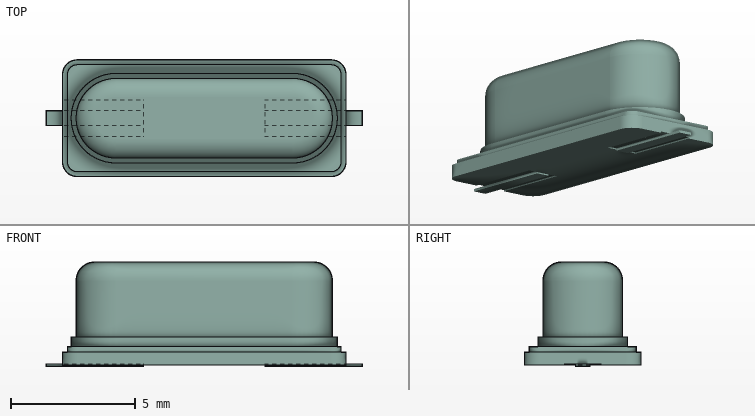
import cadquery as cq

total_height = 4.2
base_length = 11.4
base_width = 4.7
base_corner_radius = 0.6
base_bottom = 0.05
base_top = 0.58
step_inset = 0.2
step_top = 0.8
can_length = 10.3
can_width = 3.2
can_top_fillet = 0.75
flange_overhang = 0.2
flange_top = 1.19
lead_span = 12.7
lead_gap = 4.88
lead_width = 0.6
lead_thickness = 0.1
recess_width = 1.45

recess_depth = lead_thickness - base_bottom
lead_length = (lead_span - lead_gap) / 2
lead_center = (lead_span + lead_gap) / 4
recess_length = (base_length - lead_gap) / 2
recess_center = (base_length + lead_gap) / 4


def rounded_plate(inset, bottom, top):
    """Rectangular plate with rounded corners, inset evenly from the base outline."""
    return (
        cq.Workplane("XY", origin=(0, 0, bottom))
        .rect(base_length - 2 * inset, base_width - 2 * inset)
        .extrude(top - bottom)
        .edges("|Z")
        .fillet(base_corner_radius - inset)
    )


def obround(overhang, bottom, top):
    """Round-ended block that extends evenly beyond the can outline."""
    return (
        cq.Workplane("XY", origin=(0, 0, bottom))
        .slot2D(can_length + 2 * overhang, can_width + 2 * overhang)
        .extrude(top - bottom)
    )


def bottom_block(center_x, length, width, bottom, height):
    """Thin rectangular block centered on the X axis."""
    return (
        cq.Workplane("XY", origin=(center_x, 0, bottom))
        .rect(length, width)
        .extrude(height)
    )


result = rounded_plate(0, base_bottom, base_top)
result = result.union(rounded_plate(step_inset, base_top, step_top))

can = obround(0, flange_top, total_height).faces(">Z").edges().fillet(can_top_fillet)
result = result.union(obround(flange_overhang, step_top, flange_top)).union(can)

for side in (-1, 1):
    recess = bottom_block(side * recess_center, recess_length, recess_width, base_bottom, recess_depth)
    lead = bottom_block(side * lead_center, lead_length, lead_width, 0, lead_thickness)
    result = result.cut(recess).union(lead)